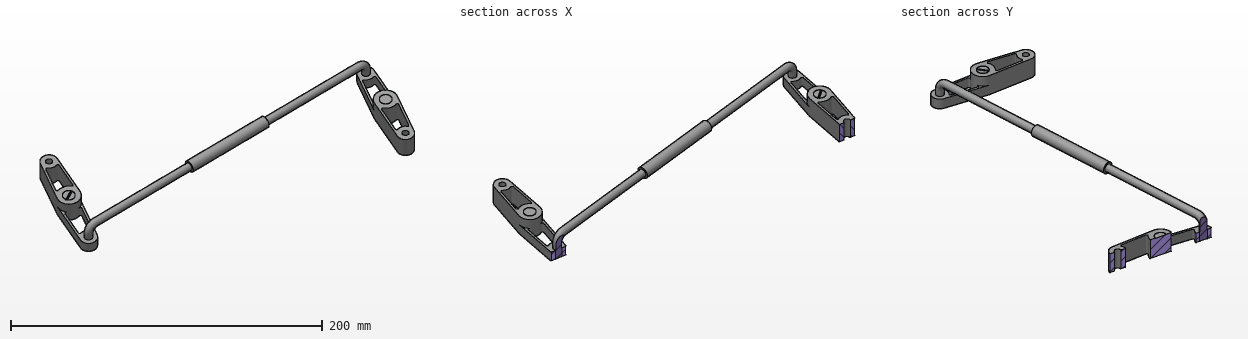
import cadquery as cq
import math

arm_length = 32.5
boss_radius = 8.0
end_radius = 6.0
tall_height = 15.0
low_height = 7.5
wall_thickness = 1.7
pocket_corner_radius = 1.0
end_hole_diameter = 4.5

pivot_face_diameter = 8.3
pivot_face_depth = 0.2
slot_width = 1.0
slot_depth = 1.2
slot_angle = -45

rear_pivot_x = 1.7
rear_pivot_y = 220.5

rod_diameter = 5.7
sleeve_diameter = 8.3
sleeve_length = 62.7
bend_radius = 6.0
overall_height = 21.8
rod_axis_height = overall_height - sleeve_diameter / 2


def disc(x, radius, height):
    return cq.Workplane("XY").center(x, 0).circle(radius).extrude(height)


def tapered_web(side, inset, height):
    """Prism between the two tangent lines of boss and end, moved inward by inset."""
    boss = boss_radius - inset
    end = end_radius - inset
    sine = (boss_radius - end_radius) / arm_length
    cosine = math.sqrt(1 - sine**2)
    boss_x = side * boss * sine
    end_x = side * (arm_length + end * sine)
    outline = [
        (boss_x, boss * cosine),
        (end_x, end * cosine),
        (end_x, -end * cosine),
        (boss_x, -boss * cosine),
    ]
    return cq.Workplane("XY").polyline(outline).close().extrude(height)


def make_arm(side, height):
    """Hollow arm toward +X (side 1) or -X (side -1), with a solid rounded end."""
    end = disc(side * arm_length, end_radius, height)
    boss = disc(0, boss_radius, height)
    pocket = tapered_web(side, wall_thickness, height).cut(end).cut(boss)
    pocket = pocket.edges("|Z").fillet(pocket_corner_radius)
    return tapered_web(side, 0, height).union(end).union(boss).cut(pocket)


def make_rocker():
    """Rocker with its tall arm toward +X and its low, rod-carrying arm toward -X."""
    rocker = make_arm(1, tall_height).union(make_arm(-1, low_height))
    rocker = rocker.union(disc(0, boss_radius, tall_height))
    rocker = rocker.cut(disc(arm_length, end_hole_diameter / 2, tall_height))
    rocker = rocker.cut(disc(-arm_length, rod_diameter / 2, low_height))
    pivot_face = disc(0, pivot_face_diameter / 2, pivot_face_depth)
    return rocker.cut(pivot_face.translate((0, 0, tall_height - pivot_face_depth)))


def make_driver_slot():
    """Screwdriver slot in the recessed pivot face."""
    slot = cq.Workplane("XY").rect(pivot_face_diameter, slot_width).extrude(slot_depth)
    slot = slot.rotate((0, 0, 0), (0, 0, 1), slot_angle)
    slot = slot.intersect(disc(0, pivot_face_diameter / 2, slot_depth))
    return slot.translate((0, 0, tall_height - pivot_face_depth - slot_depth))


def make_rod():
    """Rod with both ends bent down into the low arms and a thicker sleeve midway."""
    span_x = rear_pivot_x - 2 * arm_length
    span = math.hypot(span_x, rear_pivot_y)
    angle = math.degrees(math.atan2(rear_pivot_y, span_x))
    leg_top = rod_axis_height - bend_radius
    path = (
        cq.Workplane("XZ")
        .moveTo(0, 0)
        .lineTo(0, leg_top)
        .radiusArc((bend_radius, rod_axis_height), bend_radius)
        .lineTo(span - bend_radius, rod_axis_height)
        .radiusArc((span, leg_top), bend_radius)
        .lineTo(span, 0)
    )
    rod = cq.Workplane("XY").circle(rod_diameter / 2).sweep(path)
    sleeve = (
        cq.Workplane("YZ", origin=((span - sleeve_length) / 2, 0, rod_axis_height))
        .circle(sleeve_diameter / 2)
        .extrude(sleeve_length)
    )
    rod = rod.union(sleeve).rotate((0, 0, 0), (0, 0, 1), angle)
    return rod.translate((arm_length, 0, 0))


rear_rocker = make_rocker().translate((rear_pivot_x, rear_pivot_y, 0))
front_rocker = make_rocker().rotate((0, 0, 0), (0, 0, 1), 180).cut(make_driver_slot())
rod = make_rod()

result = cq.Compound.makeCompound([rear_rocker.val(), front_rocker.val(), rod.val()])